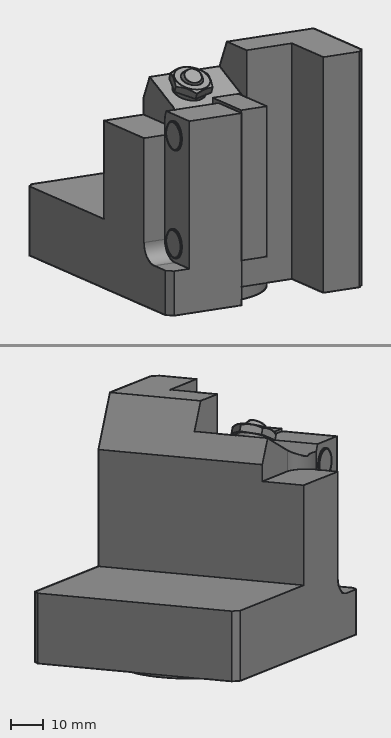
import cadquery as cq
import math

LENGTH = 86.0
WIDTH = 70.0
BODY_HEIGHT = 75.0
BASE_THICKNESS = 22.0
COLUMN_X = 46.9
SLOPE_BOTTOM_Z = 58.6
SLOPE_TOP_X = 55.0
CORNER_CHAMFER = 2.0

DISC_DIAMETER = 45.0
DISC_THICKNESS = 5.0
DISC_X = 41.9

SLOT_X = 67.0
SLOT_FRONT_Y = 26.1
SLOT_BACK_Y = 55.2
POCKET_X = 71.1
POCKET_FLOOR_Z = 14.2
POCKET_RADIUS = 6.0

LEDGE_Z = 53.3
LEDGE_DEPTH = 14.1
LEDGE_RADIUS = 6.6
SEAT_BACK_Y = 39.05
SEAT_ANGLE = 24.0
SEAT_EDGE_X = 50.65

JAW_FRONT_Y = 7.4
JAW_TOP_Z = 61.15
JAW_BEVEL_TOP_X = 72.1
JAW_BEVEL_FOOT_X = 70.2
JAW_BEVEL_HEIGHT = 4.65
JAW_TAIL_X = 68.45
JAW_TAIL_END_X = 85.65
JAW_TAIL_BACK_Y = 35.3
JAW_TAIL_TOP_Z = 62.0

PIN_DIAMETER = 9.3
PIN_X = 77.0
PIN_HEIGHTS = (20.1, 54.4)
PIN_PROTRUSION = 0.4
PIN_CHAMFER = 0.35

BOLT_X = 58.8
BOLT_Y = 23.3
COLLAR_DIAMETER = 10.6
COLLAR_HEIGHT = 1.9
HEX_CORNER_DIAMETER = 13.8
HEX_HEIGHT = 2.75
HEX_CHAMFER_DIAMETER = 11.35
HEX_CHAMFER_HEIGHT = 0.8
HEX_ROTATION = -14.0
TIP_ANGLE = 38.0
TIP_DIAMETER = 7.4
TIP_FLAT_DIAMETER = 5.5
TIP_CONE_HEIGHT = 1.9
TIP_LENGTH = 2.9
TIP_TURN = -25.0

SEAT_EDGE_Z = SLOPE_BOTTOM_Z + (
    (BODY_HEIGHT - SLOPE_BOTTOM_Z) * (SEAT_EDGE_X - COLUMN_X) / (SLOPE_TOP_X - COLUMN_X)
)


def box_between(x0, x1, y0, y1, z0, z1):
    """Box spanning the given coordinate ranges."""
    return cq.Workplane("XY").box(x1 - x0, y1 - y0, z1 - z0, centered=False).translate((x0, y0, z0))


def prism_along_y(outline, y0, y1):
    """Extrude an XZ outline from y0 to y1."""
    return cq.Workplane("XZ", origin=(0, y0, 0)).polyline(outline).close().extrude(y0 - y1)


def seat_height(x):
    """Height of the inclined seat at x."""
    return SEAT_EDGE_Z - (x - SEAT_EDGE_X) * math.tan(math.radians(SEAT_ANGLE))


def make_blank():
    outline = [
        (0, 0),
        (LENGTH, 0),
        (LENGTH, BODY_HEIGHT),
        (SLOPE_TOP_X, BODY_HEIGHT),
        (COLUMN_X, SLOPE_BOTTOM_Z),
        (COLUMN_X, BASE_THICKNESS),
        (0, BASE_THICKNESS),
    ]
    blank = prism_along_y(outline, 0, WIDTH)
    outer_edges = blank.edges("|Z and (<X or >X)")
    blank = outer_edges.chamfer(CORNER_CHAMFER)
    disc = (
        cq.Workplane("XY", origin=(DISC_X, WIDTH / 2, 0))
        .circle(DISC_DIAMETER / 2)
        .extrude(-DISC_THICKNESS)
    )
    return blank.union(disc)


def seat_cut():
    outline = [
        (COLUMN_X, seat_height(COLUMN_X)),
        (LENGTH, seat_height(LENGTH)),
        (LENGTH, BODY_HEIGHT),
        (COLUMN_X, BODY_HEIGHT),
    ]
    return prism_along_y(outline, 0, SEAT_BACK_Y)


def ledge_cut():
    cutter = box_between(COLUMN_X, POCKET_X, 0, LEDGE_DEPTH, LEDGE_Z, BODY_HEIGHT)
    return cutter.edges("|Z and >X and >Y").fillet(LEDGE_RADIUS)


def pocket_cut():
    cutter = box_between(POCKET_X, LENGTH, 0, SLOT_FRONT_Y, POCKET_FLOOR_Z, BODY_HEIGHT)
    return cutter.edges("|Y and <X and <Z").fillet(POCKET_RADIUS)


def slot_cut():
    return box_between(SLOT_X, LENGTH, SLOT_FRONT_Y, SLOT_BACK_Y, 0, BODY_HEIGHT)


def make_jaw():
    outline = [
        (POCKET_X, POCKET_FLOOR_Z),
        (LENGTH, POCKET_FLOOR_Z),
        (LENGTH, JAW_TOP_Z),
        (JAW_BEVEL_TOP_X, JAW_TOP_Z),
        (JAW_BEVEL_FOOT_X, JAW_TOP_Z - JAW_BEVEL_HEIGHT),
        (POCKET_X, JAW_TOP_Z - JAW_BEVEL_HEIGHT),
    ]
    jaw = prism_along_y(outline, JAW_FRONT_Y, SLOT_FRONT_Y).cut(ledge_cut())
    tail = box_between(
        JAW_TAIL_X, JAW_TAIL_END_X, SLOT_FRONT_Y, JAW_TAIL_BACK_Y, POCKET_FLOOR_Z, JAW_TAIL_TOP_Z
    )
    jaw = jaw.union(tail)
    for height in PIN_HEIGHTS:
        pin = (
            cq.Workplane("XZ", origin=(PIN_X, JAW_FRONT_Y, height))
            .circle(PIN_DIAMETER / 2)
            .extrude(PIN_PROTRUSION)
            .faces("<Y")
            .chamfer(PIN_CHAMFER)
        )
        jaw = jaw.union(pin)
    return jaw


def chamfered_hex():
    """Hexagonal head whose upper corners are trimmed by a cone."""
    head = (
        cq.Workplane("XY")
        .polygon(6, HEX_CORNER_DIAMETER)
        .extrude(HEX_HEIGHT)
        .rotate((0, 0, 0), (0, 0, 1), HEX_ROTATION)
    )
    corner_radius = HEX_CORNER_DIAMETER / 2
    envelope = (
        cq.Workplane("XY")
        .circle(corner_radius)
        .extrude(HEX_HEIGHT)
        .faces(">Z")
        .chamfer(HEX_CHAMFER_HEIGHT, corner_radius - HEX_CHAMFER_DIAMETER / 2)
    )
    return head.intersect(envelope)


def make_bolt():
    collar = cq.Workplane("XY").circle(COLLAR_DIAMETER / 2).extrude(COLLAR_HEIGHT)
    head = chamfered_hex().translate((0, 0, COLLAR_HEIGHT))
    tip = (
        cq.Workplane("XY")
        .circle(TIP_DIAMETER / 2)
        .extrude(TIP_LENGTH)
        .faces(">Z")
        .chamfer(TIP_CONE_HEIGHT, (TIP_DIAMETER - TIP_FLAT_DIAMETER) / 2)
        .rotate((0, 0, 0), (0, 1, 0), TIP_ANGLE - SEAT_ANGLE)
        .rotate((0, 0, 0), (0, 0, 1), TIP_TURN)
        .translate((0, 0, COLLAR_HEIGHT + HEX_HEIGHT / 2))
    )
    bolt = collar.union(head).union(tip)
    bolt = bolt.rotate((0, 0, 0), (0, 1, 0), SEAT_ANGLE)
    return bolt.translate((BOLT_X, BOLT_Y, seat_height(BOLT_X)))


body = make_blank()
for cutter in (seat_cut(), ledge_cut(), pocket_cut(), slot_cut()):
    body = body.cut(cutter)
result = body.union(make_jaw()).union(make_bolt())